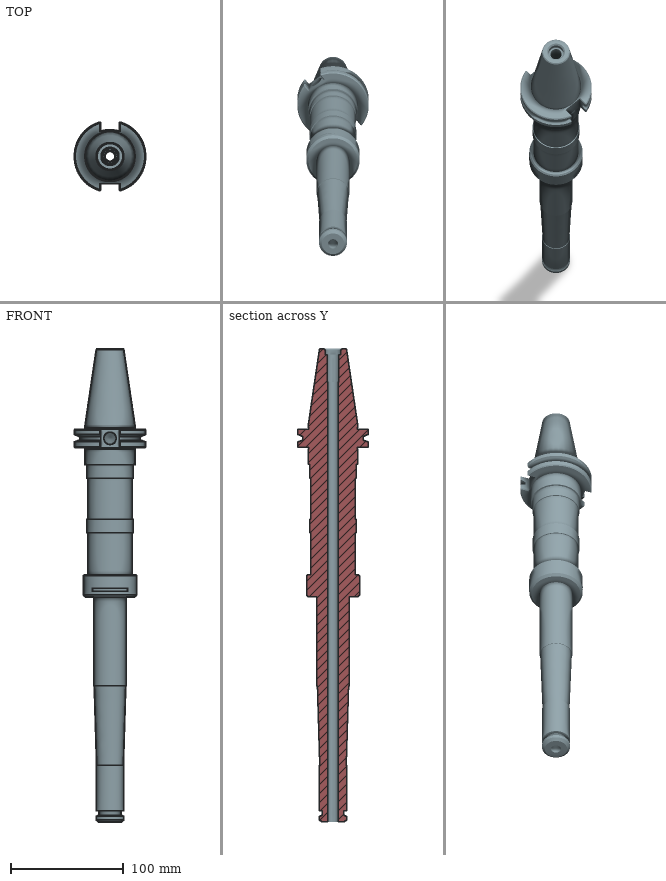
import cadquery as cq
import math

total_height = 419.5
collar_bottom_height = 2.0
collar_top_height = 5.0
neck_bottom_height = 6.3
neck_top_height = 10.0
nose_taper_bottom = 50.5
nose_taper_top = 120.8
nut_bottom = 199.0
nut_top = 219.5
band_bottom = 256.2
band_top = 268.5
shoulder_bottom = 304.5
shoulder_top = 316.5
flange_bottom = 331.5
flange_top = 348.0
gauge_height = 351.0
relief_height = 1.3

neck_diameter = 19.5
collar_diameter = 24.7
nose_diameter = 24.7
nose_taper_small_diameter = 24.0
nose_taper_large_diameter = 28.0
shaft_diameter = 29.0
nut_diameter = 47.5
body_diameter = 40.0
band_diameter = 41.5
gauge_diameter = 44.5
relief_diameter = 43.5
flange_diameter = 63.5
groove_diameter = 54.0

nut_bottom_chamfer = 2.0
nut_top_chamfer = 1.3
flange_chamfer = 1.0
taper_end_chamfer = 1.0

taper_ratio = 7 / 24
taper_end_diameter = gauge_diameter - taper_ratio * (total_height - gauge_height)

groove_floor_bottom = 338.5
groove_floor_top = 341.5
lower_groove_wall_height = 1.5
upper_groove_wall_height = 2.0

slot_width = 16.5
slot_chamfer = 1.0
front_slot_floor = 24.5
back_slot_floor = 22.2
dimple_diameter = 11.0
dimple_depth = 3.5
dimple_tip_angle = 120

through_diameter = 9.0
bore_steps = [(13.5, 5.0), (10.0, 29.5)]
bore_chamfer = 1.3

mark_bottom = 204.5
mark_height = 2.5
mark_depth = 0.5
mark_half_angle = 41


def turned_body():
    profile = [
        (neck_diameter, 0),
        (collar_diameter, collar_bottom_height),
        (collar_diameter, collar_top_height),
        (neck_diameter, neck_bottom_height),
        (neck_diameter, neck_top_height),
        (nose_diameter, neck_top_height),
        (nose_diameter, nose_taper_bottom),
        (nose_taper_small_diameter, nose_taper_bottom),
        (nose_taper_large_diameter, nose_taper_top),
        (shaft_diameter, nose_taper_top),
        (shaft_diameter, nut_bottom),
        (nut_diameter - 2 * nut_bottom_chamfer, nut_bottom),
        (nut_diameter, nut_bottom + nut_bottom_chamfer),
        (nut_diameter, nut_top - nut_top_chamfer),
        (nut_diameter - 2 * nut_top_chamfer, nut_top),
        (body_diameter, nut_top),
        (body_diameter, band_bottom),
        (band_diameter, band_bottom),
        (band_diameter, band_top),
        (body_diameter, band_top),
        (body_diameter, shoulder_bottom),
        (band_diameter, shoulder_bottom),
        (band_diameter, shoulder_top),
        (gauge_diameter, shoulder_top),
        (gauge_diameter, flange_bottom - relief_height),
        (relief_diameter, flange_bottom - relief_height),
        (relief_diameter, flange_bottom),
        (flange_diameter - 2 * flange_chamfer, flange_bottom),
        (flange_diameter, flange_bottom + flange_chamfer),
        (flange_diameter, groove_floor_bottom - lower_groove_wall_height),
        (groove_diameter, groove_floor_bottom),
        (groove_diameter, groove_floor_top),
        (flange_diameter, groove_floor_top + upper_groove_wall_height),
        (flange_diameter, flange_top - flange_chamfer),
        (flange_diameter - 2 * flange_chamfer, flange_top),
        (relief_diameter, flange_top),
        (relief_diameter, flange_top + relief_height),
        (gauge_diameter, flange_top + relief_height),
        (gauge_diameter, gauge_height),
        (taper_end_diameter, total_height - taper_end_chamfer),
        (taper_end_diameter - 2 * taper_end_chamfer, total_height),
    ]
    points = [(diameter / 2, height) for diameter, height in profile]
    outline = cq.Workplane("XZ").moveTo(0, 0).polyline(points, includeCurrent=True)
    return outline.lineTo(0, total_height).close().revolve(360, (0, 0), (0, 1))


def bore():
    cutter = cq.Workplane("XY").circle(through_diameter / 2).extrude(total_height)
    for diameter, depth in bore_steps:
        step = cq.Workplane("XY", origin=(0, 0, total_height - depth)).circle(diameter / 2).extrude(depth)
        cutter = cutter.union(step)
    mouth_radius = bore_steps[0][0] / 2
    mouth_base = cq.Vector(0, 0, total_height - bore_chamfer)
    mouth = cq.Solid.makeCone(mouth_radius, mouth_radius + bore_chamfer, bore_chamfer, pnt=mouth_base)
    return cutter.union(cq.Workplane(mouth))


def drive_slot(floor, side):
    """Slot through the flange on the +Y (side=1) or -Y (side=-1) face, with its edges broken."""
    half = slot_width / 2
    wide = half + slot_chamfer
    outside = flange_diameter

    right_edge = [
        (wide, flange_bottom),
        (half, flange_bottom + slot_chamfer),
        (half, flange_top - slot_chamfer),
        (wide, flange_top),
    ]
    left_edge = [(-x, z) for x, z in reversed(right_edge)]
    section = cq.Workplane("XZ", origin=(0, side * floor, 0)).polyline(right_edge + left_edge).close()
    slot = section.extrude(-side * (outside - floor))

    rim = math.sqrt((flange_diameter / 2) ** 2 - wide**2)
    flare = wide + outside - rim
    neck = rim - slot_chamfer
    mouth_points = [(half, neck), (flare, outside), (-flare, outside), (-half, neck)]
    mouth = cq.Workplane("XY", origin=(0, 0, flange_bottom))
    mouth = mouth.polyline([(x, side * y) for x, y in mouth_points]).close()
    return slot.union(mouth.extrude(flange_top - flange_bottom))


def dimple():
    """Drilled spot with a conical bottom in the floor of the front slot."""
    radius = dimple_diameter / 2
    tip = dimple_depth + radius / math.tan(math.radians(dimple_tip_angle / 2))
    middle = (flange_bottom + flange_top) / 2
    outline = cq.Workplane("XY", origin=(0, 0, middle)).polyline(
        [
            (0, -front_slot_floor),
            (radius, -front_slot_floor),
            (radius, dimple_depth - front_slot_floor),
            (0, tip - front_slot_floor),
        ]
    )
    return outline.close().revolve(360, (0, 0), (0, 1))


def nut_mark():
    """Shallow arc-shaped recess around the -Y face of the nut."""
    outer = nut_diameter / 2
    reach = 2 * outer
    side = reach * math.tan(math.radians(mark_half_angle))
    base = cq.Workplane("XY", origin=(0, 0, mark_bottom))
    ring = base.circle(outer + mark_depth).circle(outer - mark_depth).extrude(mark_height)
    sector = base.polyline([(0, 0), (-side, -reach), (side, -reach)]).close().extrude(mark_height)
    return ring.intersect(sector)


result = (
    turned_body()
    .cut(bore())
    .cut(drive_slot(front_slot_floor, -1))
    .cut(drive_slot(back_slot_floor, 1))
    .cut(dimple())
    .cut(nut_mark())
)